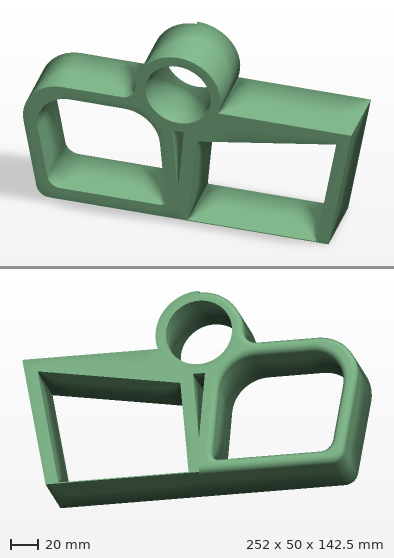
import cadquery as cq
import math

length = 252.0
depth = 50.0
deck_height = 99.5
lean = math.tan(math.radians(10))
rib_lean = math.tan(math.radians(5))

ring_x = 119.0
ring_z = 109.8
ring_radius = 32.7
bore_diameter = 50.0

nose_radius = 30.2
heel_radius = 10.0
wall = 9.8
floor_thickness = 0.8
edge_radius = 4.5

window_left = 20.2
window_right = 109.8
window_nose_radius = 25.2
window_rib_radius = 27.7
window_heel_radius = 10.0
window_toe_radius = 4.5

slit_top = 77.5
slit_half_width = 4.5

bay_left = 126.7
bay_left_height = 71.3
bay_right_height = 89.5

nose_z = deck_height - nose_radius
lean_angle = math.atan(lean)
nose_end_x = nose_radius * (1 - math.cos(lean_angle))
nose_end_z = nose_z - nose_radius * math.sin(lean_angle)
left_foot = nose_end_x + nose_end_z * lean
nose_corner = left_foot - deck_height * lean
right_foot = length - deck_height * lean


def prism(points):
    """Extrude an XZ outline from the front face (Y = 0) to the rear face."""
    return cq.Workplane("XZ").polyline(points).close().extrude(-depth)


def cylinder(x, z, radius):
    return cq.Workplane("XZ").center(x, z).circle(radius).extrude(-depth)


def round_corner(body, x, z, radius):
    """Round the Y-direction edge that passes nearest the given XZ point."""
    nearest = cq.selectors.NearestToPointSelector((x, depth / 2, z))
    return body.edges("|Y").edges(nearest).fillet(radius)


def make_body():
    body = prism([
        (left_foot, 0),
        (right_foot, 0),
        (length, deck_height),
        (nose_corner, deck_height),
    ])
    body = round_corner(body, nose_corner, deck_height, nose_radius)
    return round_corner(body, left_foot, 0, heel_radius)


def make_ring_blend():
    """Concave blend from the deck up to the leftmost point of the ring."""
    radius = ring_z - deck_height
    ring_left = ring_x - ring_radius
    start_x = ring_left - radius
    middle = radius * math.sqrt(0.5)
    return (
        cq.Workplane("XZ")
        .moveTo(start_x, deck_height)
        .threePointArc((start_x + middle, ring_z - middle), (ring_left, ring_z))
        .lineTo(ring_x, ring_z)
        .lineTo(ring_x, deck_height)
        .close()
        .extrude(-depth)
    )


def make_window():
    top = deck_height - wall
    rise = top - wall
    top_left = window_left - rise * lean
    top_right = window_right - rise * rib_lean
    window = prism([(window_left, wall), (window_right, wall), (top_right, top), (top_left, top)])
    window = round_corner(window, top_left, top, window_nose_radius)
    window = round_corner(window, top_right, top, window_rib_radius)
    window = round_corner(window, window_left, wall, window_heel_radius)
    return round_corner(window, window_right, wall, window_toe_radius)


def make_slit():
    return prism([
        (ring_x - slit_half_width, slit_top),
        (ring_x + slit_half_width, slit_top),
        (ring_x, slit_top - slit_half_width / rib_lean),
    ])


def make_bay():
    bay_right = right_foot - wall
    return prism([
        (bay_left, floor_thickness),
        (bay_right + floor_thickness * lean, floor_thickness),
        (bay_right + bay_right_height * lean, bay_right_height),
        (bay_left + bay_left_height * rib_lean, bay_left_height),
    ])


def round_rear_left(body):
    """Round the rear rim left of the ring centre, around the outline and the window."""
    left_half = cq.Workplane("XY").box(ring_x, depth, length, centered=False)
    left = body.intersect(left_half)
    right = body.cut(left_half)
    split_edge = cq.selectors.BoxSelector(
        (ring_x - edge_radius, depth - edge_radius, 0),
        (ring_x + edge_radius, depth + edge_radius, length),
    ) & cq.selectors.ParallelDirSelector(cq.Vector(0, 0, 1))
    rear_rim = cq.selectors.DirectionMinMaxSelector(cq.Vector(0, 1, 0)) - split_edge
    return left.edges(rear_rim).fillet(edge_radius).union(right)


solid = make_body().union(cylinder(ring_x, ring_z, ring_radius)).union(make_ring_blend())
solid = round_rear_left(solid.cut(make_window()))
result = (
    solid
    .cut(cylinder(ring_x, ring_z, bore_diameter / 2))
    .cut(make_slit())
    .cut(make_bay())
)